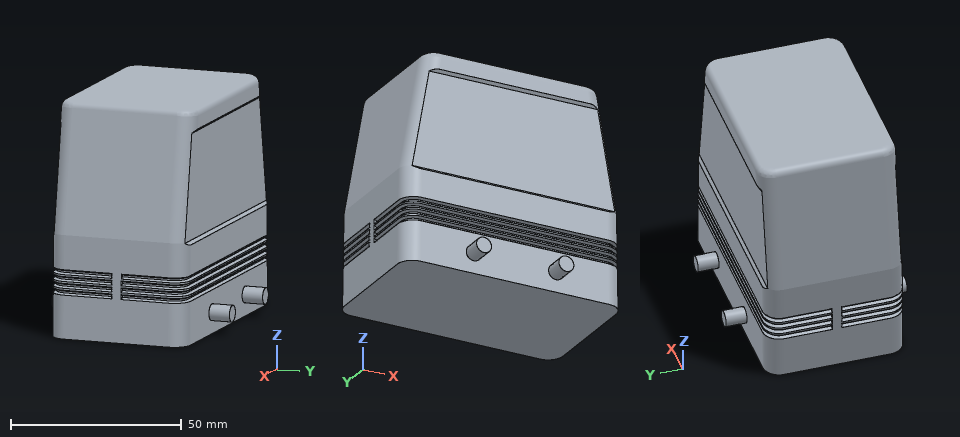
import cadquery as cq

BASE_LENGTH = 73.0
BODY_WIDTH = 42.9
BODY_HEIGHT = 70.0
SHOULDER_HEIGHT = 31.1
SHOULDER_LENGTH = 72.0
TOP_LENGTH = 58.1
CORNER_RADIUS = 5.05
TOP_EDGE_RADIUS = 2.5

RECESS_DEPTH = 0.9
RECESS_FLOOR_BOTTOM = 30.95
RECESS_FLOOR_TOP = 62.85

GROOVE_COUNT = 4
GROOVE_PITCH = 2.05
GROOVE_DEPTH = 1.0
GROOVE_MOUTH = 1.45
GROOVE_FLOOR = 0.5
GROOVE_CENTRE_HEIGHT = 17.0
GROOVE_GAP = 3.0

PIN_SPAN = 55.8
PIN_DIAMETER = 5.0
PIN_SPACING = 27.45
PIN_HEIGHT = 6.6

OVERCUT = 0.4


def make_body():
    """Symmetrical hood with rounded corners and a rounded top edge."""
    body = (
        cq.Workplane("XZ")
        .moveTo(-BASE_LENGTH / 2, 0)
        .lineTo(BASE_LENGTH / 2, 0)
        .lineTo(SHOULDER_LENGTH / 2, SHOULDER_HEIGHT)
        .lineTo(TOP_LENGTH / 2, BODY_HEIGHT)
        .lineTo(-TOP_LENGTH / 2, BODY_HEIGHT)
        .lineTo(-SHOULDER_LENGTH / 2, SHOULDER_HEIGHT)
        .close()
        .extrude(BODY_WIDTH / 2, both=True)
    )
    body = body.edges("#Y and (not #Z)").fillet(CORNER_RADIUS)
    return body.faces(">Z").edges().fillet(TOP_EDGE_RADIUS)


def make_recess(side):
    """Trapezoidal bar that cuts the recess into the broad face on one side of Y."""
    floor = side * (BODY_WIDTH / 2 - RECESS_DEPTH)
    outside = side * (BODY_WIDTH / 2 + OVERCUT)
    bevel = RECESS_DEPTH + OVERCUT
    return (
        cq.Workplane("YZ")
        .moveTo(floor, RECESS_FLOOR_BOTTOM)
        .lineTo(outside, RECESS_FLOOR_BOTTOM - bevel)
        .lineTo(outside, RECESS_FLOOR_TOP + bevel)
        .lineTo(floor, RECESS_FLOOR_TOP)
        .close()
        .extrude(BASE_LENGTH / 2, both=True)
    )


def skirt_length(height):
    """Length of the drafted skirt at the given height."""
    return BASE_LENGTH - (BASE_LENGTH - SHOULDER_LENGTH) * height / SHOULDER_HEIGHT


def skirt_outline(height):
    """Closed rounded rectangle around the skirt, starting mid-way along the -Y face."""
    half_x = skirt_length(height) / 2
    half_y = BODY_WIDTH / 2
    flat_x = half_x - CORNER_RADIUS
    flat_y = half_y - CORNER_RADIUS
    return (
        cq.Workplane("XY", origin=(0, 0, height))
        .moveTo(0, -half_y)
        .lineTo(flat_x, -half_y)
        .radiusArc((half_x, -flat_y), -CORNER_RADIUS)
        .lineTo(half_x, flat_y)
        .radiusArc((flat_x, half_y), -CORNER_RADIUS)
        .lineTo(-flat_x, half_y)
        .radiusArc((-half_x, flat_y), -CORNER_RADIUS)
        .lineTo(-half_x, -flat_y)
        .radiusArc((-flat_x, -half_y), -CORNER_RADIUS)
        .close()
    )


def make_groove(height):
    """Trapezoidal section swept around the skirt, with a gap in the middle of each end."""
    face = -BODY_WIDTH / 2
    flank_slope = (GROOVE_MOUTH - GROOVE_FLOOR) / 2 / GROOVE_DEPTH
    half_outside = GROOVE_MOUTH / 2 + OVERCUT * flank_slope
    ring = (
        cq.Workplane("YZ")
        .moveTo(face + GROOVE_DEPTH, height - GROOVE_FLOOR / 2)
        .lineTo(face - OVERCUT, height - half_outside)
        .lineTo(face - OVERCUT, height + half_outside)
        .lineTo(face + GROOVE_DEPTH, height + GROOVE_FLOOR / 2)
        .close()
        .sweep(skirt_outline(height))
    )
    gap = cq.Workplane("XY").box(2 * BASE_LENGTH, GROOVE_GAP, BODY_HEIGHT, centered=(True, True, False))
    return ring.cut(gap)


def make_pin(x):
    """Round pin passing through the skirt along Y."""
    return (
        cq.Workplane("XZ", origin=(x, 0, PIN_HEIGHT))
        .circle(PIN_DIAMETER / 2)
        .extrude(PIN_SPAN / 2, both=True)
    )


result = make_body()

for side in (-1, 1):
    result = result.cut(make_recess(side))

for index in range(GROOVE_COUNT):
    offset = (index - (GROOVE_COUNT - 1) / 2) * GROOVE_PITCH
    result = result.cut(make_groove(GROOVE_CENTRE_HEIGHT + offset))

for x in (-PIN_SPACING / 2, PIN_SPACING / 2):
    result = result.union(make_pin(x))